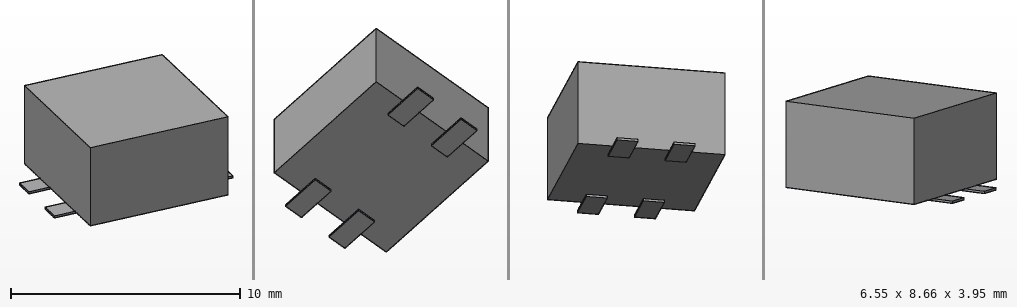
import cadquery as cq

overall_length = 8.66
overall_height = 3.95

lead_width = 0.935
lead_length = 1.95
lead_thickness = 0.1
lead_pitch = 2.54

body_width = 6.55
body_length = 6.685
body_height = overall_height - lead_thickness


def make_body():
    """Plain block whose underside sits on top of the leads."""
    return (
        cq.Workplane("XY")
        .box(body_width, body_length, body_height, centered=(True, True, False))
        .translate((0, 0, lead_thickness))
    )


def make_lead(x_side, y_side):
    """Flat strip; x_side and y_side (-1 or 1) choose its corner of the body."""
    center_x = x_side * lead_pitch / 2
    center_y = y_side * (overall_length - lead_length) / 2
    return (
        cq.Workplane("XY")
        .box(lead_width, lead_length, lead_thickness, centered=(True, True, False))
        .translate((center_x, center_y, 0))
    )


body = make_body()

leads = []
for x_side in (-1, 1):
    for y_side in (-1, 1):
        leads.append(make_lead(x_side, y_side).val())

result = cq.Compound.makeCompound([body.val(), *leads])